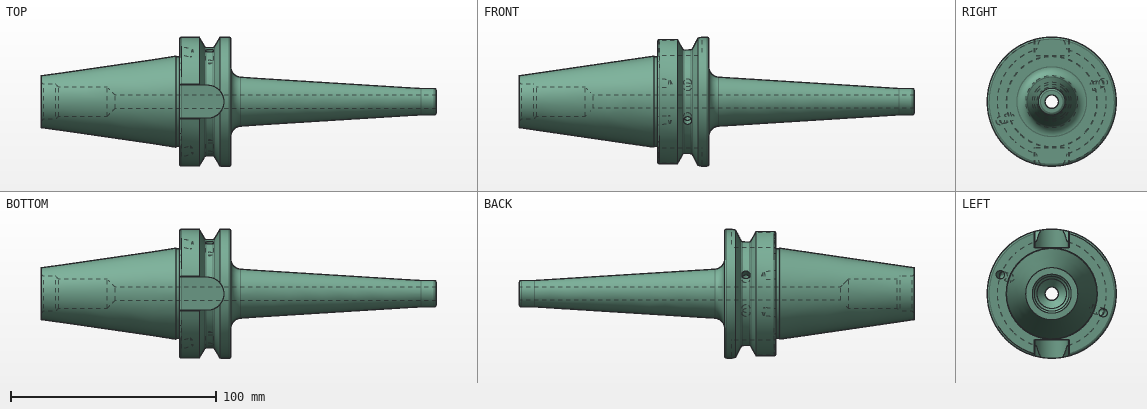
import cadquery as cq
import math


gauge_radius = 44.45 / 2
taper_length = 65.4
taper_slope = 7 / 24 / 2
small_end_radius = gauge_radius - taper_length * taper_slope

relief_start = 0.2
relief_radius = 21.95
relief_fillet = 0.2

flange_start = 2.0
flange_end = 27.0
flange_radius = 63 / 2
flange_edge_fillet = 1.0
groove_center = 16.6
groove_floor_radius = 53 / 2
groove_angle = 60
groove_floor_width = 4.3
groove_floor_half = groove_floor_width / 2
groove_flank_run = (flange_radius - groove_floor_radius) * math.tan(math.radians(groove_angle / 2))
groove_top_half = groove_floor_half + groove_flank_run
groove_floor_fillet = 0.8

nose_end = 127.0
nose_tip_radius = 13 / 2
nose_tip_length = 7.5
nose_root_radius = 12.3
nose_root_fillet = 5.0
nose_tip_fillet = 1.0

slot_width = 16.1
slot_floor = 22.5
slot_end = 23.6
slot_edge_chamfer = 0.5
slot_floor_bevel_length = 1.0
slot_floor_bevel_depth = 0.3

mouth_radius = 19 / 2
counterbore_radius = 17 / 2
counterbore_depth = 7.0
thread_radius = 14.4 / 2
thread_depth = 32.0
coolant_radius = 6.4 / 2
lead_in_run = counterbore_radius - thread_radius
cone_run = thread_radius - coolant_radius

hole_radius = 4 / 2
hole_turn = 20.3
drill_tip_angle = 118
face_hole_offset = 26.7
face_hole_slant = 15
face_hole_depth = 6.0
groove_hole_floor = 20.8


def revolve_about_x(profile):
    return profile.close().revolve(360, (0, 0, 0), (1, 0, 0))


def ring_edges(body, x, radius):
    """Circular edges centred on the X axis at the given station and radius."""
    tolerance = 0.05
    reach = radius + tolerance
    outer = cq.selectors.BoxSelector(
        (x - tolerance, -reach, -reach), (x + tolerance, reach, reach), boundingbox=True
    )
    inner = cq.selectors.BoxSelector(
        (x - tolerance, -radius + tolerance, -radius + tolerance),
        (x + tolerance, radius - tolerance, radius - tolerance),
        boundingbox=True,
    )
    return body.edges(outer - inner)


def turned_body():
    profile = (
        cq.Workplane("XZ")
        .moveTo(-taper_length, 0)
        .lineTo(-taper_length, small_end_radius)
        .lineTo(0, gauge_radius)
        .lineTo(relief_start, gauge_radius)
        .lineTo(relief_start, relief_radius)
        .lineTo(flange_start, relief_radius)
        .lineTo(flange_start, flange_radius)
        .lineTo(groove_center - groove_top_half, flange_radius)
        .lineTo(groove_center - groove_floor_half, groove_floor_radius)
        .lineTo(groove_center + groove_floor_half, groove_floor_radius)
        .lineTo(groove_center + groove_top_half, flange_radius)
        .lineTo(flange_end, flange_radius)
        .lineTo(flange_end, nose_root_radius)
        .lineTo(nose_end - nose_tip_length, nose_tip_radius)
        .lineTo(nose_end, nose_tip_radius)
        .lineTo(nose_end, 0)
    )
    body = revolve_about_x(profile)
    rounds = [
        (relief_start, relief_radius, relief_fillet),
        (flange_start, relief_radius, relief_fillet),
        (flange_start, flange_radius, flange_edge_fillet),
        (flange_end, flange_radius, flange_edge_fillet),
        (groove_center - groove_floor_half, groove_floor_radius, groove_floor_fillet),
        (groove_center + groove_floor_half, groove_floor_radius, groove_floor_fillet),
        (flange_end, nose_root_radius, nose_root_fillet),
        (nose_end, nose_tip_radius, nose_tip_fillet),
    ]
    for x, radius, fillet in rounds:
        body = ring_edges(body, x, radius).fillet(fillet)
    return body


def drive_slot():
    """Round-ended slot on the +Z side, open towards the taper."""
    half_width = slot_width / 2
    arc_center = slot_end - half_width
    return (
        cq.Workplane("XY", origin=(0, 0, slot_floor))
        .moveTo(0, -half_width)
        .lineTo(arc_center, -half_width)
        .threePointArc((slot_end, 0), (arc_center, half_width))
        .lineTo(0, half_width)
        .close()
        .extrude(flange_radius)
    )


def slot_edge_bevels():
    """Wedges that bevel the slot edges at the flange face, the rim and the floor."""
    half_width = slot_width / 2
    wide = half_width + slot_edge_chamfer
    face_wedge = (
        cq.Workplane("XY", origin=(0, 0, slot_floor))
        .moveTo(flange_start, -wide)
        .lineTo(flange_start + slot_edge_chamfer, -half_width)
        .lineTo(flange_start + slot_edge_chamfer, half_width)
        .lineTo(flange_start, wide)
        .close()
        .extrude(flange_radius)
    )
    rim_height = math.sqrt(flange_radius**2 - wide**2)
    rim_wedge = (
        cq.Workplane("YZ", origin=(flange_start, 0, 0))
        .moveTo(-wide, flange_radius)
        .lineTo(-wide, rim_height)
        .lineTo(-half_width, rim_height - slot_edge_chamfer)
        .lineTo(half_width, rim_height - slot_edge_chamfer)
        .lineTo(wide, rim_height)
        .lineTo(wide, flange_radius)
        .close()
        .extrude(groove_center - flange_start)
    )
    floor_wedge = (
        cq.Workplane("XZ")
        .moveTo(flange_start, slot_floor)
        .lineTo(flange_start + slot_floor_bevel_length, slot_floor)
        .lineTo(flange_start, slot_floor - slot_floor_bevel_depth)
        .close()
        .extrude(half_width, both=True)
    )
    return face_wedge.union(rim_wedge).union(floor_wedge)


def central_bore():
    mouth = -taper_length
    seat = mouth + counterbore_depth
    cone_start = mouth + thread_depth
    profile = (
        cq.Workplane("XZ")
        .moveTo(mouth, 0)
        .lineTo(mouth, mouth_radius)
        .lineTo(mouth + mouth_radius - counterbore_radius, counterbore_radius)
        .lineTo(seat, counterbore_radius)
        .lineTo(seat + lead_in_run, thread_radius)
        .lineTo(cone_start, thread_radius)
        .lineTo(cone_start + cone_run, coolant_radius)
        .lineTo(nose_end, coolant_radius)
        .lineTo(nose_end, 0)
    )
    return revolve_about_x(profile)


def drill(length):
    """Drill with its tip shoulder on the origin, pointing along -Y, shank reaching up by length."""
    tip_length = hole_radius / math.tan(math.radians(drill_tip_angle / 2))
    return (
        cq.Workplane("XY")
        .moveTo(0, length)
        .lineTo(hole_radius, length)
        .lineTo(hole_radius, 0)
        .lineTo(0, -tip_length)
        .close()
        .revolve(360, (0, 0, 0), (0, 1, 0))
    )


def flange_holes():
    """Face hole leaning in towards the axis, and the radial groove hole beside it."""
    groove_hole = drill(groove_floor_radius).translate((groove_center, groove_hole_floor, 0))
    face_hole = (
        drill(2 * face_hole_depth)
        .translate((0, -face_hole_depth, 0))
        .rotate((0, 0, 0), (0, 0, 1), 90 - face_hole_slant)
        .translate((flange_start, face_hole_offset, 0))
    )
    return groove_hole.union(face_hole).rotate((0, 0, 0), (1, 0, 0), hole_turn)


def with_opposite(tool):
    return tool.union(tool.rotate((0, 0, 0), (1, 0, 0), 180))


result = (
    turned_body()
    .cut(with_opposite(drive_slot()))
    .cut(with_opposite(slot_edge_bevels()))
    .cut(central_bore())
    .cut(with_opposite(flange_holes()))
)